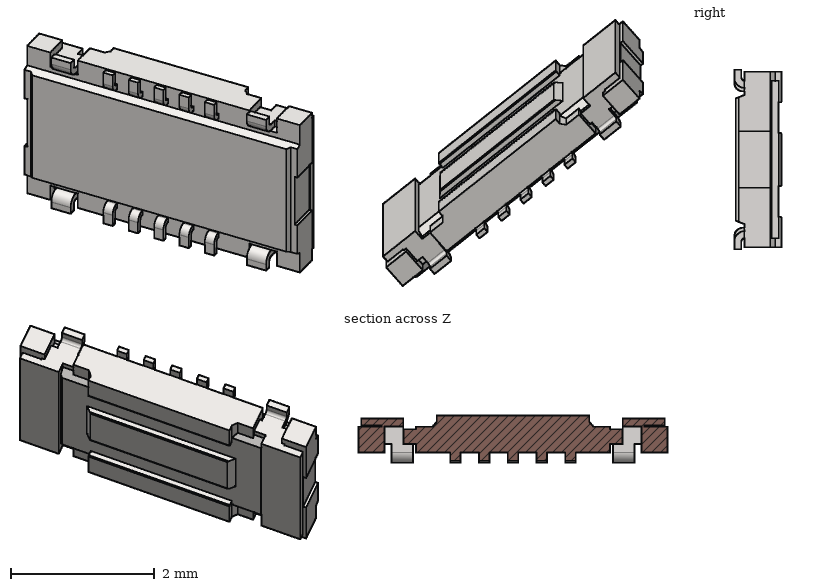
import cadquery as cq
import math

overall_depth = 0.66
solder_plane_y = -overall_depth / 2

clip_thickness = 0.1
clip_width = 2.19
clip_outer_x = 2.11
clip_inner_x = 1.525
clip_back_depth = 0.618
clip_gap_inner_x = 1.83
notch_outer_x = 1.786
notch_inner_x = 1.352
notch_clearance = 0.01
clip_shoulder_depth = 0.259
clip_lead_x = 1.54
clip_lead_width = 0.304
clip_bend_radius = 0.048

housing_length = 4.3
housing_width = 2.445
ledge_depth = 0.142
end_back_depth = 0.502

nose_base_width = 1.80
nose_top_width = 1.70
nose_depth = 0.018
nose_length = 4.0
end_step_depth = 0.065
end_step_length = 4.095

end_recess_width = 0.79
end_recess = 0.043

floor_depth = 0.571
floor_length = 2 * clip_inner_x
floor_slope_depth = 0.465
floor_slope_width = clip_width - 2 * clip_thickness
floor_slope = floor_depth - floor_slope_depth
floor_corner = 0.03
wall_length = 2.124
wall_base_length = 2.24
wall_inner_z = 0.794
tongue_width = 0.74
tongue_base_length = wall_base_length
rim_chamfer = 0.015

contact_count = 5
contact_pitch = 0.4
contact_width = 0.147
contact_thickness = 0.073
contact_bend_radius = 0.047
contact_root_z = 1.02
lead_tip_z = 1.25


def block(x_start, x_end, depth_start, depth_end, z_start, z_end):
    """Box between two X positions, two depths and two Z positions."""
    size = (x_end - x_start, depth_end - depth_start, z_end - z_start)
    corner = (x_start, solder_plane_y + depth_start, z_start)
    return cq.Workplane("XY").box(*size, centered=False).translate(corner)


def depth_by_z(x_start):
    """Sketch plane at an X position, with depth and Z as its coordinates."""
    return cq.Workplane("YZ", origin=(x_start, solder_plane_y, 0))


def depth_by_x(z_start):
    """Sketch plane at a Z position, with X and depth as its coordinates."""
    return cq.Workplane("XY", origin=(0, solder_plane_y, z_start))


def both_edges(shape):
    return shape.union(shape.mirror("XY"))


def both_ends(shape):
    return shape.union(shape.mirror("YZ"))


def make_housing():
    half_length = housing_length / 2
    half_width = housing_width / 2
    half_base = nose_base_width / 2
    half_top = nose_top_width / 2
    section = [
        (end_back_depth, -half_width),
        (ledge_depth, -half_width),
        (ledge_depth, -half_base),
        (nose_depth, -half_top),
        (nose_depth, half_top),
        (ledge_depth, half_base),
        (ledge_depth, half_width),
        (end_back_depth, half_width),
    ]
    housing = depth_by_z(-half_length).polyline(section).close().extrude(housing_length)
    step = (
        depth_by_x(-half_width)
        .moveTo(half_length, 0)
        .lineTo(nose_length / 2, 0)
        .lineTo(nose_length / 2, nose_depth)
        .lineTo(end_step_length / 2, end_step_depth)
        .lineTo(half_length, end_step_depth)
        .close()
        .extrude(housing_width)
    )
    recess = block(
        half_length - end_recess, half_length, 0, end_back_depth,
        -end_recess_width / 2, end_recess_width / 2,
    )
    notch = block(
        notch_inner_x, notch_outer_x, ledge_depth, end_back_depth,
        clip_width / 2 - clip_thickness - notch_clearance, half_width,
    )
    slope_relief = block(
        notch_inner_x, clip_inner_x, floor_slope_depth, end_back_depth,
        floor_slope_width / 2 - floor_slope, half_width,
    )
    edge_cuts = both_edges(notch.union(slope_relief))
    return housing.cut(both_ends(step.union(recess))).cut(both_ends(edge_cuts))


def make_floor():
    half_slope_width = floor_slope_width / 2
    half_floor_width = half_slope_width - floor_slope
    section = [
        (clip_shoulder_depth, -half_slope_width),
        (clip_shoulder_depth, half_slope_width),
        (floor_slope_depth, half_slope_width),
        (floor_depth, half_floor_width),
        (floor_depth, -half_floor_width),
        (floor_slope_depth, -half_slope_width),
    ]
    floor = depth_by_z(-floor_length / 2).polyline(section).close().extrude(floor_length)
    return floor.faces(">Y").edges("|Z").chamfer(floor_corner)


def make_wall():
    """Long wall on the +Z edge, flared toward its foot at both ends."""
    outline = [
        (-wall_base_length / 2, end_back_depth),
        (wall_base_length / 2, end_back_depth),
        (wall_length / 2, floor_depth),
        (wall_length / 2, overall_depth),
        (-wall_length / 2, overall_depth),
        (-wall_length / 2, floor_depth),
    ]
    wall_thickness = housing_width / 2 - wall_inner_z
    wall = depth_by_x(wall_inner_z).polyline(outline).close().extrude(wall_thickness)
    return wall.faces(">Y").edges("<Z").chamfer(rim_chamfer)


def make_tongue():
    """Central tongue with ends sloped at 45 degrees."""
    half_base = tongue_base_length / 2
    half_top = half_base - (overall_depth - floor_depth)
    outline = [
        (-half_base, end_back_depth),
        (half_base, end_back_depth),
        (half_base, floor_depth),
        (half_top, overall_depth),
        (-half_top, overall_depth),
        (-half_base, floor_depth),
    ]
    tongue = depth_by_x(-tongue_width / 2).polyline(outline).close().extrude(tongue_width)
    return tongue.faces(">Y").edges("|X").chamfer(rim_chamfer)


def make_lead(x_center, width, thickness, bend_radius, root_z, root_depth):
    """Lead on the +Z edge that leaves the housing toward -Y and bends out to +Z."""
    outer_radius = bend_radius + thickness
    bend_z = root_z + bend_radius
    diagonal = math.sqrt(0.5)

    def bend_middle(radius):
        return (outer_radius - radius * diagonal, bend_z - radius * diagonal)

    return (
        depth_by_z(x_center - width / 2)
        .moveTo(root_depth, root_z)
        .lineTo(outer_radius, root_z)
        .threePointArc(bend_middle(bend_radius), (thickness, bend_z))
        .lineTo(thickness, lead_tip_z)
        .lineTo(0, lead_tip_z)
        .lineTo(0, bend_z)
        .threePointArc(bend_middle(outer_radius), (outer_radius, root_z - thickness))
        .lineTo(root_depth, root_z - thickness)
        .close()
        .extrude(width)
    )


def make_clip():
    """Metal clip of the +X end: a cover plate with a leg and a lead on each edge."""
    half_width = clip_width / 2
    plate = block(
        clip_inner_x, clip_outer_x, end_back_depth, clip_back_depth, -half_width, half_width
    )
    gap = block(
        clip_gap_inner_x, clip_outer_x, end_back_depth, clip_back_depth - clip_thickness,
        -half_width, half_width,
    )
    leg_inner_face = half_width - clip_thickness
    wide_leg = block(
        notch_inner_x, notch_outer_x, clip_shoulder_depth, floor_slope_depth,
        leg_inner_face, half_width,
    )
    upper_leg = block(
        clip_inner_x, notch_outer_x, floor_slope_depth, end_back_depth,
        leg_inner_face, half_width,
    )
    lead = make_lead(
        clip_lead_x, clip_lead_width, clip_thickness, clip_bend_radius,
        half_width, clip_shoulder_depth,
    )
    return plate.cut(gap).union(both_edges(wide_leg.union(upper_leg).union(lead)))


def add_contacts(body):
    for index in range(contact_count):
        x_center = (index - (contact_count - 1) / 2) * contact_pitch
        contact = make_lead(
            x_center, contact_width, contact_thickness, contact_bend_radius,
            contact_root_z, end_back_depth,
        )
        body = body.union(both_edges(contact))
    return body


result = make_housing().union(make_floor()).union(both_edges(make_wall())).union(make_tongue())
result = result.union(both_ends(make_clip()))
result = add_contacts(result)